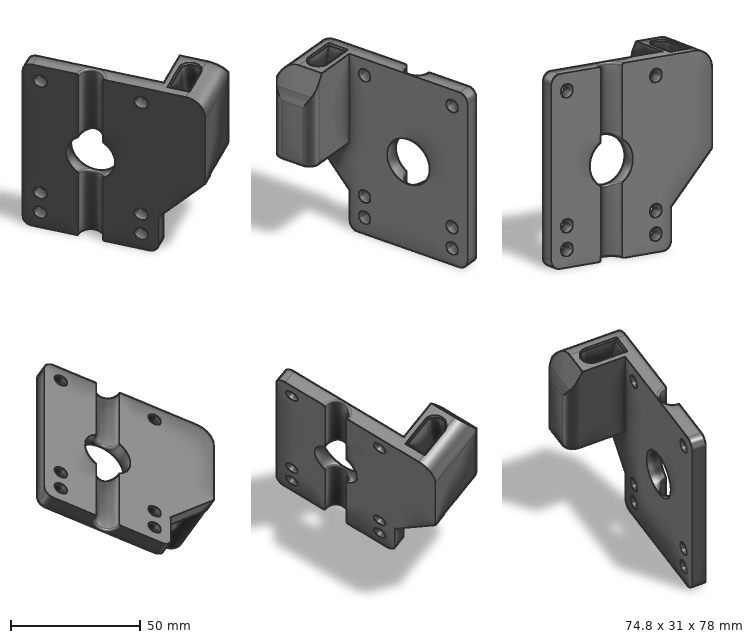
import cadquery as cq
import math

plate_width = 74.8
plate_height = 78.0
plate_thickness = 6.0
foot_width = 55.8
notch_bottom = 17.2
notch_top = 37.9
small_corner_radius = 4.0
large_corner_radius = 8.0

bore_x = 27.9
bore_z = plate_height / 2
bore_diameter = 20.0
screw_diameter = 5.5
screw_offset_x = 20.7
screw_heights = (7.3, 16.8, 70.75)
groove_radius = 5.0
groove_rounding = 0.9

block_depth = 31.0
block_corner_radius = 4.5
block_edge_chamfer = 0.6
slope_angle = math.radians(30)
slope_run = 6.5
slope_blend_radius = 10.0

tunnel_width = 7.9
tunnel_length = 16.7
mouth_center_x = 62.6
mouth_front_y = 4.4
mouth_chamfer = 0.6
exit_shift_x = 2.65
exit_shift_y = 2.0


def outline_prism(depth):
    """Front outline with its rounded corners, extruded back from Y = 0."""
    prism = (
        cq.Workplane("XZ")
        .moveTo(0, 0)
        .lineTo(foot_width, 0)
        .lineTo(foot_width, notch_bottom)
        .lineTo(plate_width, notch_top)
        .lineTo(plate_width, plate_height)
        .lineTo(0, plate_height)
        .close()
        .extrude(-depth)
    )
    prism = prism.edges("|Y and <X").fillet(small_corner_radius)
    prism = prism.edges("|Y").edges("<Z").fillet(small_corner_radius)
    return prism.edges("|Y").edges(">X").edges(">Z").fillet(large_corner_radius)


def make_block():
    block_width = plate_width - foot_width
    block = (
        cq.Workplane("XY", origin=(foot_width, 0, notch_top))
        .rect(block_width, block_depth, centered=False)
        .extrude(plate_height - notch_top)
        .edges("|Z and >Y")
        .fillet(block_corner_radius)
    )
    block = block.faces("<Z").edges().chamfer(block_edge_chamfer)
    slope_drop = slope_run / math.tan(slope_angle)
    side_profile = (
        cq.Workplane("YZ", origin=(foot_width, 0, 0))
        .moveTo(0, notch_top)
        .lineTo(block_depth, notch_top)
        .lineTo(block_depth, plate_height - slope_drop)
        .lineTo(block_depth - slope_run, plate_height)
        .lineTo(0, plate_height)
        .close()
        .extrude(block_width)
    )
    slope_foot = cq.selectors.NearestToPointSelector(
        (foot_width + block_width / 2, block_depth, plate_height - slope_drop)
    )
    block = block.intersect(side_profile.edges(slope_foot).fillet(slope_blend_radius))
    return block.intersect(outline_prism(block_depth))


def tunnel_section(work, x, front_y, margin, round_front):
    """Slot outline grown by margin: round far end, square or round near end."""
    radius = tunnel_width / 2 + margin
    far_y = front_y + tunnel_length - tunnel_width / 2
    near_y = front_y - margin
    if round_front:
        near_y = front_y + tunnel_width / 2
    work = (
        work.moveTo(x - radius, near_y)
        .lineTo(x - radius, far_y)
        .threePointArc((x, far_y + radius), (x + radius, far_y))
        .lineTo(x + radius, near_y)
    )
    if round_front:
        work = work.threePointArc((x, near_y - radius), (x - radius, near_y))
    return work.close()


def make_tunnel():
    """Slanted passage from a square-fronted mouth to a round-ended exit, plus the mouth chamfer."""
    work = cq.Workplane("XY", origin=(0, 0, notch_top))
    work = tunnel_section(work, mouth_center_x + exit_shift_x, mouth_front_y + exit_shift_y, 0, True)
    work = work.workplane(offset=plate_height - notch_top)
    passage = tunnel_section(work, mouth_center_x, mouth_front_y, 0, False).loft(ruled=True)

    work = cq.Workplane("XY", origin=(0, 0, plate_height - mouth_chamfer))
    work = tunnel_section(work, mouth_center_x, mouth_front_y, 0, False)
    work = work.workplane(offset=mouth_chamfer)
    flare = tunnel_section(work, mouth_center_x, mouth_front_y, mouth_chamfer, False).loft(ruled=True)
    return passage.union(flare)


def make_groove():
    return (
        cq.Workplane("XY", origin=(bore_x, 0, 0))
        .circle(groove_radius)
        .extrude(plate_height)
    )


def make_bore():
    return (
        cq.Workplane("XZ")
        .center(bore_x, bore_z)
        .circle(bore_diameter / 2)
        .extrude(-plate_thickness)
    )


def make_screw_holes():
    points = [
        (bore_x + side * screw_offset_x, height)
        for side in (-1, 1)
        for height in screw_heights
    ]
    return cq.Workplane("XZ").pushPoints(points).circle(screw_diameter / 2).extrude(-plate_thickness)


body = outline_prism(plate_thickness).union(make_block())
for cutter in (make_tunnel(), make_groove(), make_bore(), make_screw_holes()):
    body = body.cut(cutter)

arch_edges = cq.selectors.BoxSelector(
    (bore_x - groove_radius, groove_radius / 2, -groove_rounding),
    (bore_x + groove_radius, groove_radius, plate_height + groove_rounding),
)
result = body.edges(arch_edges).fillet(groove_rounding)